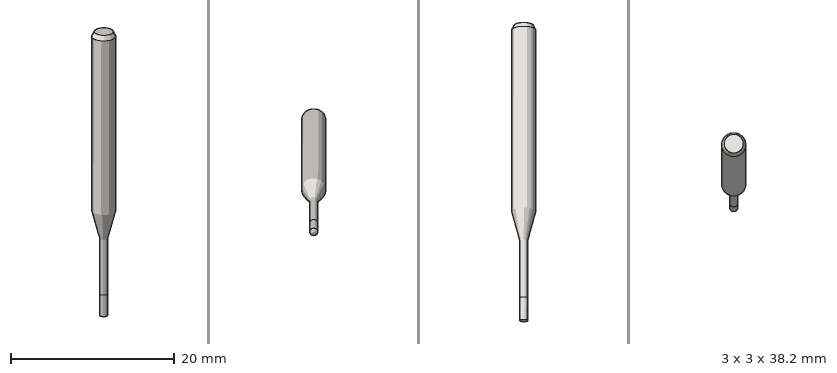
import cadquery as cq

overall_length = 38.22
shank_diameter = 3.0
shank_end_diameter = 2.35
end_chamfer_height = 0.6
neck_diameter = 1.0
cutter_diameter = 1.0

point_height = 0.2
cutter_top = 3.1
neck_top = 10.47
taper_top = 14.25

shank_radius = shank_diameter / 2
shank_end_radius = shank_end_diameter / 2
neck_radius = neck_diameter / 2
cutter_radius = cutter_diameter / 2
chamfer_bottom = overall_length - end_chamfer_height


def revolve_about_z(profile):
    """Turn a closed (radius, height) profile into a solid around the Z axis."""
    return cq.Workplane("XZ").polyline(profile).close().revolve(360, (0, 0, 0), (0, 1, 0))


def make_holder():
    """Chamfered shank, tapering down to a slender neck."""
    return revolve_about_z([
        (0, cutter_top),
        (neck_radius, cutter_top),
        (neck_radius, neck_top),
        (shank_radius, taper_top),
        (shank_radius, chamfer_bottom),
        (shank_end_radius, overall_length),
        (0, overall_length),
    ])


def make_cutter():
    """Cylindrical cutting end with a shallow conical point, butted against the neck."""
    return revolve_about_z([
        (0, 0),
        (cutter_radius, point_height),
        (cutter_radius, cutter_top),
        (0, cutter_top),
    ])


holder = make_holder()
cutter = make_cutter()

result = cq.Compound.makeCompound([holder.val(), cutter.val()])